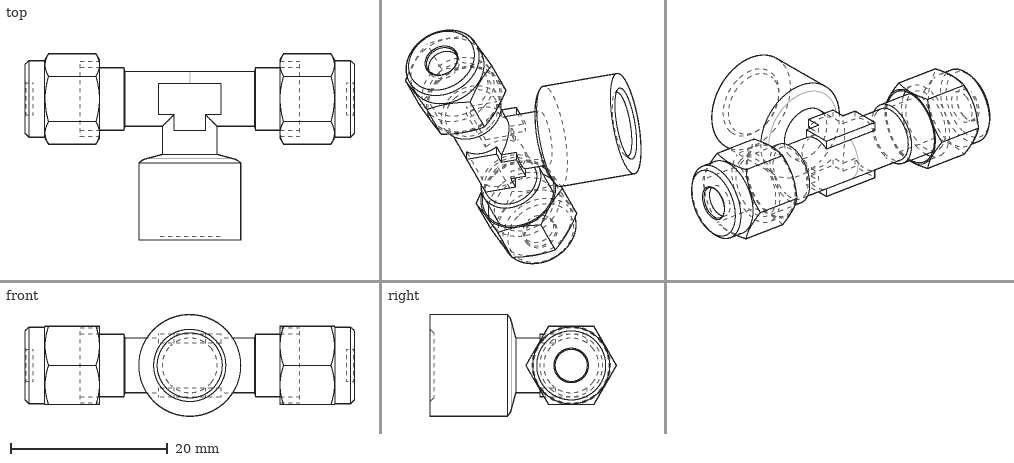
import cadquery as cq
import math


half_length = 21.0
pipe_radius = 3.5
collar_radius = 4.0
collar_start = 8.4
shoulder_angle = math.radians(15)

hex_across_flats = 10.0
hex_start = 11.5
hex_end = 18.5
hex_chamfer_angle = math.radians(30)
nut_radius = 4.9
nut_chamfer = 0.5
nut_recess_radius = 4.8
nut_recess_depth = 2.5

tube_hole_radius = 2.05
tube_hole_depth = 1.05
tube_hole_chamfer = 0.15

branch_length = 18.0
branch_neck_end = 7.05
socket_body_start = 8.15
socket_body_radius = 6.5
socket_cone_radius = 5.6
socket_mouth_radius = 4.6
socket_floor_radius = 4.15
socket_depth = 0.5

pad_half_height = 4.0
pad_bar_length = 8.0
pad_bar_width = 4.0
pad_stem_width = 4.0
pad_reach = 4.0


def revolve_about_x(profile):
    """Revolve an (axial, radial) profile drawn in XY around the X axis."""
    return profile.close().revolve(360, (0, 0, 0), (1, 0, 0))


def make_hex():
    """Hexagon with flats facing +/-Z and its corners turned off at both ends.

    A round recess in the inner face leaves a gap around the collar.
    """
    flat_radius = hex_across_flats / 2
    corner_radius = flat_radius / math.cos(math.pi / 6)
    hexagon = (
        cq.Workplane("YZ")
        .workplane(offset=hex_start)
        .polygon(6, 2 * corner_radius)
        .extrude(hex_end - hex_start)
    )
    inner_chamfer = (corner_radius - flat_radius) * math.tan(hex_chamfer_angle)
    outer_chamfer = (corner_radius - nut_radius) * math.tan(hex_chamfer_angle)
    turned_envelope = revolve_about_x(
        cq.Workplane("XY")
        .moveTo(hex_start, 0)
        .lineTo(hex_start, flat_radius)
        .lineTo(hex_start + inner_chamfer, corner_radius)
        .lineTo(hex_end - outer_chamfer, corner_radius)
        .lineTo(hex_end, nut_radius)
        .lineTo(hex_end, 0)
    )
    recess = (
        cq.Workplane("YZ")
        .workplane(offset=hex_start)
        .circle(nut_recess_radius)
        .extrude(nut_recess_depth)
    )
    return hexagon.intersect(turned_envelope).cut(recess)


def make_run_end():
    """Pipe, collar and nut of the +X half of the run."""
    shoulder_length = (collar_radius - pipe_radius) * math.tan(shoulder_angle)
    turned = revolve_about_x(
        cq.Workplane("XY")
        .moveTo(0, 0)
        .lineTo(0, pipe_radius)
        .lineTo(collar_start - shoulder_length, pipe_radius)
        .lineTo(collar_start, collar_radius)
        .lineTo(hex_end, collar_radius)
        .lineTo(hex_end, nut_radius)
        .lineTo(half_length - nut_chamfer, nut_radius)
        .lineTo(half_length, nut_radius - nut_chamfer)
        .lineTo(half_length, 0)
    )
    return turned.union(make_hex())


def make_tube_hole():
    """Blind hole with a chamfered mouth, entering from the +X end."""
    floor = half_length - tube_hole_depth
    return revolve_about_x(
        cq.Workplane("XY")
        .moveTo(floor, 0)
        .lineTo(floor, tube_hole_radius)
        .lineTo(half_length - tube_hole_chamfer, tube_hole_radius)
        .lineTo(half_length, tube_hole_radius + tube_hole_chamfer)
        .lineTo(half_length, 0)
    )


def make_branch():
    """Neck, cone and rounded shoulder of the socket body, along -Y."""
    cone_length = (socket_cone_radius - pipe_radius) * math.tan(shoulder_angle)
    return (
        cq.Workplane("XY")
        .moveTo(0, 0)
        .lineTo(pipe_radius, 0)
        .lineTo(pipe_radius, -branch_neck_end)
        .lineTo(socket_cone_radius, -branch_neck_end - cone_length)
        .tangentArcPoint((socket_body_radius, -socket_body_start), relative=False)
        .lineTo(socket_body_radius, -branch_length)
        .lineTo(0, -branch_length)
        .close()
        .revolve(360, (0, 0, 0), (0, 1, 0))
    )


def make_socket():
    """Shallow tapered recess in the end of the branch."""
    floor = -branch_length + socket_depth
    return (
        cq.Workplane("XY")
        .moveTo(0, -branch_length)
        .lineTo(socket_mouth_radius, -branch_length)
        .lineTo(socket_floor_radius, floor)
        .lineTo(0, floor)
        .close()
        .revolve(360, (0, 0, 0), (0, 1, 0))
    )


def make_pads():
    """T-shaped block whose ends stand proud of the pipes at the top and bottom."""
    height = 2 * pad_half_height
    bar = cq.Workplane("XY").box(pad_bar_length, pad_bar_width, height)
    stem = (
        cq.Workplane("XY")
        .box(pad_stem_width, pad_reach, height)
        .translate((0, -pad_reach / 2, 0))
    )
    return bar.union(stem)


run_end = make_run_end()
tube_hole = make_tube_hole()

result = (
    run_end
    .union(run_end.mirror("YZ"))
    .union(make_branch())
    .union(make_pads())
    .cut(tube_hole)
    .cut(tube_hole.mirror("YZ"))
    .cut(make_socket())
)